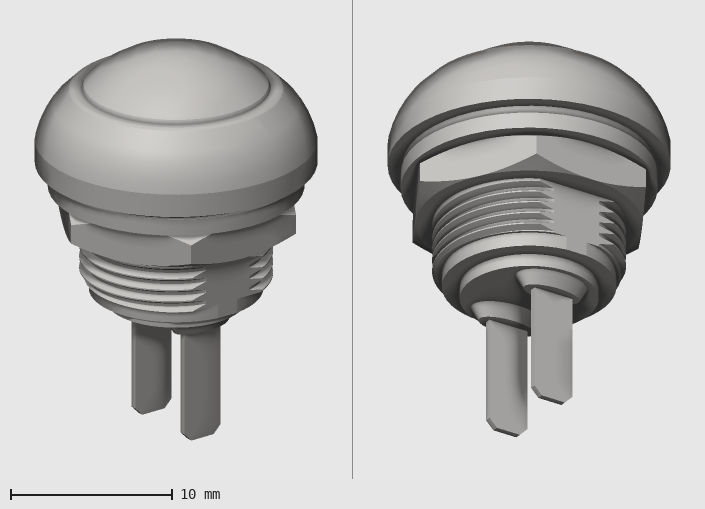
import cadquery as cq
import math


FLANGE_RADIUS = 8.75
FLANGE_HEIGHT = 1.5
BEZEL_TOP_Z = 5.0
BEZEL_TOP_RADIUS = 6.5
BEZEL_ARC_RADIUS = 5.9
BEZEL_EDGE_FILLET = 0.5
DOME_BASE_RADIUS = 5.85
DOME_RIM_RADIUS = 5.73
DOME_RIM_Z = 5.24
DOME_TOP_Z = 7.6

SEAL_RADIUS = 7.85
SEAL_SECTION_RADIUS = 0.75
SEAL_HEIGHT = 0.53
WASHER_RADIUS = 7.95
WASHER_HEIGHT = 1.06

NUT_ACROSS_FLATS = 14.0
NUT_HEIGHT = 2.5
NUT_CHAMFER_ANGLE = 30

THREAD_RADIUS = 6.0
THREAD_ROOT_RADIUS = 5.6
THREAD_PITCH = 0.75
THREAD_ROOT_WIDTH = 0.2
THREAD_FLANK_ANGLE = 30
GROOVE_CUT_MARGIN = 0.04
THREAD_RUN_OUT = 5 * THREAD_PITCH
THREAD_LENGTH = 3.49
THREAD_CREST_OFFSET = 1.01
BODY_FLAT_DISTANCE = 5.35
COLLAR_RADIUS = 5.4
COLLAR_HEIGHT = 0.92

BASE_RADIUS = 4.3
BASE_HEIGHT = 0.83
TERMINAL_PITCH = 5.08
BEAD_HEIGHT = 0.84
BEAD_TOP_RADII = (1.4, 2.5)
BEAD_BOTTOM_RADII = (0.87, 2.0)
BLADE_THICKNESS = 0.4
BLADE_WIDTH = 2.8
BLADE_LENGTH = 7.42
BLADE_TIP_CHAMFER = 0.55

WASHER_TOP_Z = -SEAL_HEIGHT
NUT_TOP_Z = WASHER_TOP_Z - WASHER_HEIGHT
NUT_BOTTOM_Z = NUT_TOP_Z - NUT_HEIGHT
THREAD_END_Z = NUT_BOTTOM_Z - THREAD_LENGTH
COLLAR_BOTTOM_Z = THREAD_END_Z - COLLAR_HEIGHT
BASE_BOTTOM_Z = COLLAR_BOTTOM_Z - BASE_HEIGHT
BEAD_BOTTOM_Z = BASE_BOTTOM_Z - BEAD_HEIGHT
BLADE_TIP_Z = BEAD_BOTTOM_Z - BLADE_LENGTH


def revolve(profile):
    """Turn a closed XZ profile a full turn about the Z axis."""
    return profile.close().revolve(360, (0, 0, 0), (0, 1, 0))


def disc(radius, bottom_z, top_z):
    """Plain cylinder on the axis between two levels."""
    return cq.Workplane("XY").workplane(offset=bottom_z).circle(radius).extrude(top_z - bottom_z)


def make_cap():
    """Flange with a rounded bezel above it and an eased edge at the flat top."""
    cap = revolve(
        cq.Workplane("XZ")
        .moveTo(0, 0)
        .lineTo(FLANGE_RADIUS, 0)
        .lineTo(FLANGE_RADIUS, FLANGE_HEIGHT)
        .radiusArc((BEZEL_TOP_RADIUS, BEZEL_TOP_Z), -BEZEL_ARC_RADIUS)
        .lineTo(0, BEZEL_TOP_Z)
    )
    return cap.faces(">Z").edges().fillet(BEZEL_EDGE_FILLET)


def make_dome():
    """Spherical lens on a short tapered rim."""
    dome_height = DOME_TOP_Z - DOME_RIM_Z
    sphere_radius = (DOME_RIM_RADIUS**2 + dome_height**2) / (2 * dome_height)
    return revolve(
        cq.Workplane("XZ")
        .moveTo(0, 0)
        .lineTo(DOME_BASE_RADIUS, 0)
        .lineTo(DOME_BASE_RADIUS, BEZEL_TOP_Z)
        .lineTo(DOME_RIM_RADIUS, DOME_RIM_Z)
        .radiusArc((0, DOME_TOP_Z), -sphere_radius)
    )


def make_seal():
    """Part of a round-section seal showing between the flange and the washer."""
    inset = SEAL_SECTION_RADIUS - math.sqrt(SEAL_SECTION_RADIUS**2 - SEAL_HEIGHT**2)
    return revolve(
        cq.Workplane("XZ")
        .moveTo(0, 0)
        .lineTo(SEAL_RADIUS, 0)
        .radiusArc((SEAL_RADIUS - inset, WASHER_TOP_Z), SEAL_SECTION_RADIUS)
        .lineTo(0, WASHER_TOP_Z)
    )


def make_nut():
    """Hexagon trimmed at both ends by cones that touch the flats."""
    inner_radius = NUT_ACROSS_FLATS / 2
    corner_radius = inner_radius / math.cos(math.pi / 6)
    corner_drop = (corner_radius - inner_radius) * math.tan(math.radians(NUT_CHAMFER_ANGLE))
    hexagon = (
        cq.Workplane("XY")
        .workplane(offset=NUT_BOTTOM_Z)
        .polygon(6, 2 * corner_radius)
        .extrude(NUT_HEIGHT)
        .rotate((0, 0, 0), (0, 0, 1), 30)
    )
    envelope = revolve(
        cq.Workplane("XZ")
        .moveTo(0, NUT_BOTTOM_Z)
        .lineTo(inner_radius, NUT_BOTTOM_Z)
        .lineTo(corner_radius, NUT_BOTTOM_Z + corner_drop)
        .lineTo(corner_radius, NUT_TOP_Z - corner_drop)
        .lineTo(inner_radius, NUT_TOP_Z)
        .lineTo(0, NUT_TOP_Z)
    )
    return hexagon.intersect(envelope)


def make_thread_groove():
    """Right-hand helical groove, running out past both ends of the exposed thread."""
    turns_above = 2
    turns_below = 6
    crest_to_groove = THREAD_PITCH / 2
    quarter_turn_rise = THREAD_PITCH / 4
    groove_z = NUT_BOTTOM_Z - THREAD_CREST_OFFSET - crest_to_groove - quarter_turn_rise
    start_z = groove_z - turns_below * THREAD_PITCH

    outside_radius = THREAD_RADIUS + GROOVE_CUT_MARGIN
    root_half_width = THREAD_ROOT_WIDTH / 2
    flank_spread = (outside_radius - THREAD_ROOT_RADIUS) * math.tan(math.radians(THREAD_FLANK_ANGLE))
    mouth_half_width = root_half_width + flank_spread

    helix_height = (turns_above + turns_below) * THREAD_PITCH
    helix_start = cq.Vector(0, 0, start_z)
    helix = cq.Wire.makeHelix(THREAD_PITCH, helix_height, THREAD_ROOT_RADIUS, helix_start)
    return (
        cq.Workplane("XZ")
        .polyline(
            [
                (THREAD_ROOT_RADIUS, start_z - root_half_width),
                (outside_radius, start_z - mouth_half_width),
                (outside_radius, start_z + mouth_half_width),
                (THREAD_ROOT_RADIUS, start_z + root_half_width),
            ]
        )
        .close()
        .sweep(cq.Workplane(helix), isFrenet=True)
    )


def between_flats(bottom_z, top_z):
    """Slab that trims the body to its two flats between two levels."""
    return (
        cq.Workplane("XY")
        .workplane(offset=bottom_z)
        .rect(2 * BODY_FLAT_DISTANCE, 2 * FLANGE_RADIUS)
        .extrude(top_z - bottom_z)
    )


def make_body():
    """Threaded barrel and plain collar, with flats across the +X and -X sides."""
    thread_top_z = (NUT_TOP_Z + NUT_BOTTOM_Z) / 2
    barrel = disc(THREAD_RADIUS, THREAD_END_Z - THREAD_RUN_OUT, thread_top_z + THREAD_RUN_OUT)
    barrel = barrel.cut(make_thread_groove()).intersect(between_flats(THREAD_END_Z, thread_top_z))
    collar = disc(COLLAR_RADIUS, COLLAR_BOTTOM_Z, THREAD_END_Z)
    collar = collar.intersect(between_flats(COLLAR_BOTTOM_Z, THREAD_END_Z))
    return barrel.union(collar)


def make_terminal(center_x):
    """Tapered oval bead with a flat blade whose tip corners are bevelled."""
    bead = (
        cq.Workplane("XY")
        .workplane(offset=BASE_BOTTOM_Z)
        .center(center_x, 0)
        .ellipse(*BEAD_TOP_RADII)
        .workplane(offset=-BEAD_HEIGHT)
        .ellipse(*BEAD_BOTTOM_RADII)
        .loft()
    )
    blade = (
        cq.Workplane("XY")
        .workplane(offset=BLADE_TIP_Z)
        .center(center_x, 0)
        .rect(BLADE_THICKNESS, BLADE_WIDTH)
        .extrude(BASE_BOTTOM_Z - BLADE_TIP_Z)
        .faces("<Z")
        .edges("|X")
        .chamfer(BLADE_TIP_CHAMFER)
    )
    return bead.union(blade)


result = (
    make_cap()
    .union(make_dome())
    .union(make_seal())
    .union(disc(WASHER_RADIUS, NUT_TOP_Z, WASHER_TOP_Z))
    .union(make_nut())
    .union(make_body())
    .union(disc(BASE_RADIUS, BASE_BOTTOM_Z, COLLAR_BOTTOM_Z))
)
for side in (-1, 1):
    result = result.union(make_terminal(side * TERMINAL_PITCH / 2))